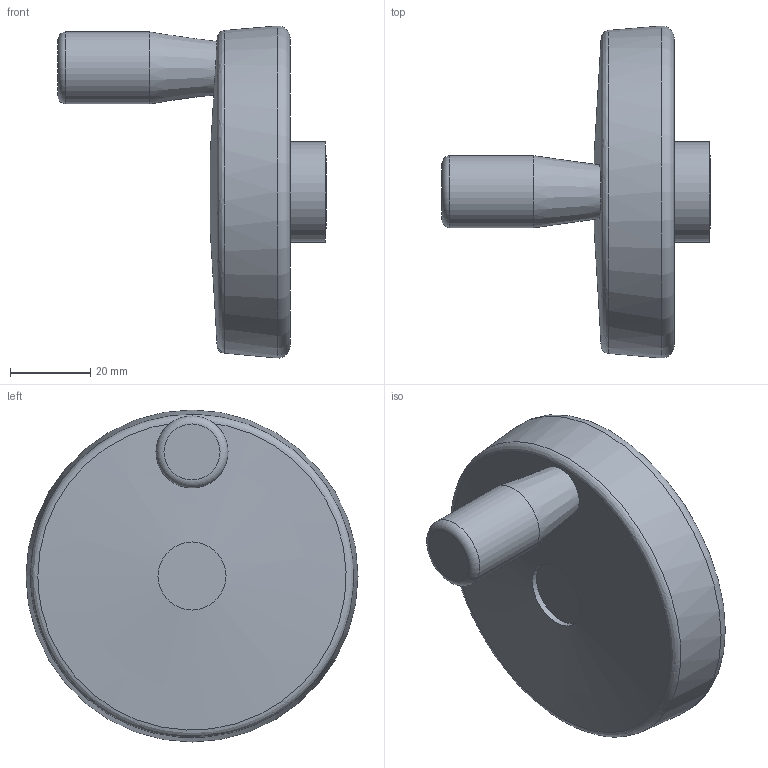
import cadquery as cq
import math


wheel_radius = 83.0 / 2
wheel_thickness = 20.0
rim_taper = math.radians(4.75)
front_cone_slope = math.radians(3.4)
front_fillet = 2.0
back_fillet = 3.0

recess_radius = 17.0 / 2
recess_depth = 1.5

hub_radius = 25.0 / 2
hub_length = 9.0
lip_radius = 18.0 / 2
lip_height = 0.25

overall_length = 67.0
handle_offset = 31.0
grip_radius = 18.0 / 2
grip_length = 23.0
grip_fillet = 2.0
neck_taper = math.radians(8.0)
neck_length = 17.0


def make_wheel():
    """Wheel body revolved about X, with both edges of the rim rounded."""
    fillet_centre_radius = wheel_radius - back_fillet
    corner_rise = back_fillet * (1 / math.cos(rim_taper) + math.tan(rim_taper))
    back_corner_radius = fillet_centre_radius + corner_rise

    rim_slope = math.tan(rim_taper)
    cone_slope = math.tan(front_cone_slope)
    depth_without_taper = wheel_thickness - (back_corner_radius - recess_radius) * cone_slope
    front_corner_depth = depth_without_taper / (1 - rim_slope * cone_slope)
    front_corner_radius = back_corner_radius - front_corner_depth * rim_slope

    recess_floor_x = recess_depth - wheel_thickness
    body = (
        cq.Workplane("XY")
        .moveTo(0, 0)
        .lineTo(0, back_corner_radius)
        .lineTo(-front_corner_depth, front_corner_radius)
        .lineTo(-wheel_thickness, recess_radius)
        .lineTo(recess_floor_x, recess_radius)
        .lineTo(recess_floor_x, 0)
        .close()
        .revolve(360, (0, 0, 0), (1, 0, 0))
    )
    body = body.faces(">X").edges().fillet(back_fillet)
    front_corner = cq.selectors.NearestToPointSelector((-front_corner_depth, 0, 0))
    return body.edges("%CIRCLE").edges(front_corner).fillet(front_fillet)


def make_hub():
    """Cylindrical hub on the back face, ending in a thin raised lip."""
    hub = cq.Workplane("YZ").circle(hub_radius).extrude(hub_length - lip_height)
    return hub.faces(">X").workplane().circle(lip_radius).extrude(lip_height)


def make_handle():
    """Fixed crank handle: rounded cylindrical grip and a neck tapering into the wheel."""
    tip_x = hub_length - overall_length
    grip_end_x = tip_x + grip_length
    neck_end_x = grip_end_x + neck_length
    neck_end_radius = grip_radius - neck_length * math.tan(neck_taper)
    handle = (
        cq.Workplane("XY", origin=(0, 0, handle_offset))
        .moveTo(tip_x, 0)
        .lineTo(tip_x, grip_radius)
        .lineTo(grip_end_x, grip_radius)
        .lineTo(neck_end_x, neck_end_radius)
        .lineTo(neck_end_x, 0)
        .close()
        .revolve(360, (0, 0, 0), (1, 0, 0))
    )
    return handle.faces("<X").edges().fillet(grip_fillet)


result = make_wheel().union(make_hub()).union(make_handle())